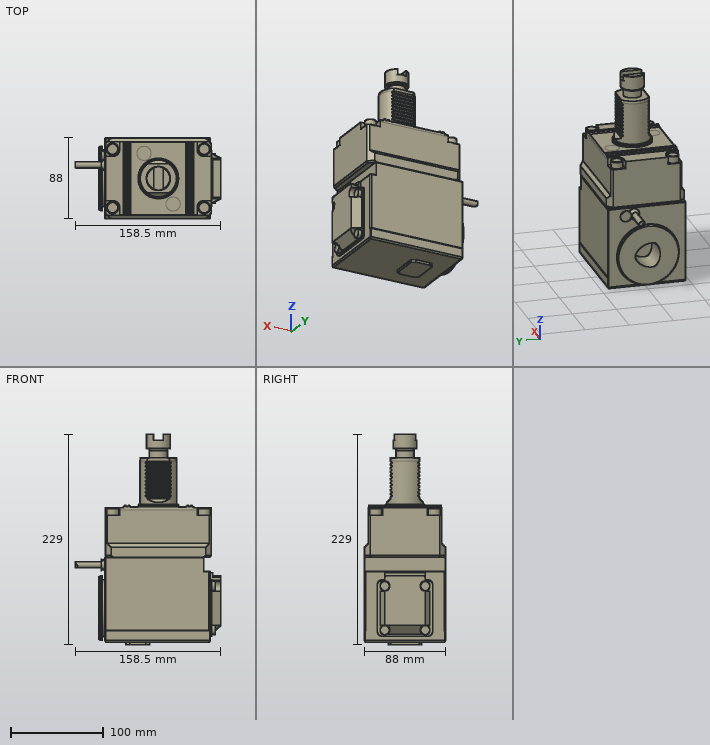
import cadquery as cq
import math


BLOCK_X_MIN = -58.0
BLOCK_X_MAX = 56.3
BLOCK_HALF_Y = 44.0
BLOCK_TOP_Z = -54.7
BLOCK_BOTTOM_Z = -147.2
BLOCK_EDGE = 0.7
BLOCK_REAR_EDGE = 1.6
BLOCK_BOTTOM_EDGE_SIDE = 1.1
BLOCK_BOTTOM_EDGE_HEIGHT = 2.1
NOTCH_X = 49.5
NOTCH_Z = -69.8
JOINT_Z = -134.6
JOINT_WIDTH = 0.5
JOINT_DEPTH = 0.3

HEAD_HALF_X = 57.6
HEAD_HALF_Y = 40.0
HEAD_TOP_HALF_Y = 39.5
HEAD_BEVEL_HEIGHT = 3.0
FLARE_HALF_Y = 44.0
FLARE_TOP_Z = -39.9
FLARE_BOTTOM_Z = -44.1
HEAD_CORNER_CUT = 6.2
HEAD_FOOT_EDGE = 1.8

STEP_DEPTH = 1.0
STRIP_INNER_X = 30.0
STRIP_OUTER_X = 38.3
RIDGE_HEIGHT = 1.4
RIDGE_PITCH = 4.0
RIDGE_CREST = 0.8
STRIP_EDGE_DEPTH = 0.2

SCREW_X = 49.75
SCREW_Y = 31.75
SCREW_POCKET_D = 15.5
SCREW_POCKET_Z = -9.2
SCREW_HEAD_D = 13.0
SCREW_HEAD_TOP_Z = -1.3
SCREW_HEAD_EDGE = 0.7

HEAD_PLUG_D = 15.5
HEAD_PLUG_X = 15.8
HEAD_PLUG_Y = 27.5
PLUG_THICKNESS = 3.0

SHANK_D = 40.0
SHANK_ROOT_Z = -25.0
SHANK_TOP_D = 39.4
SHANK_TOP_Z = 53.0
SHANK_TAPER_LENGTH = 2.8
COLLAR_D = 43.9
COLLAR_TOP_D = 41.5
COLLAR_EDGE_Z = 1.6
COLLAR_TOP_Z = 2.9
FLAT_Y = 15.8
FLAT_BOTTOM_Z = 8.9
GROOVE_PITCH = 4.0
GROOVE_COUNT = 10
GROOVE_FIRST_Z = 11.9
GROOVE_DEPTH = 1.6
GROOVE_HALF_WIDTH = 1.6

NECK_D = 20.0
RELIEF_D = 19.6
RELIEF_BOTTOM_Z = 61.0
DRIVE_D = 26.0
DRIVE_BOTTOM_Z = 62.8
DRIVE_TOP_Z = 79.0
DRIVE_EDGE = 0.5
SLOT_WIDTH = 10.4
SLOT_DEPTH = 6.6

SOCKET_Z = -110.0
FLANGE_D = 70.0
FLANGE_FACE_X = -64.6
FLANGE_BACK_X = -60.9
FLANGE_EDGE_AXIAL = 2.0
FLANGE_EDGE_RADIAL = 1.2
FLANGE_NECK_D = 62.0
SOCKET_D = 28.0
SOCKET_ECCENTRICITY = 2.0
SOCKET_DEPTH = 30.0
SOCKET_TAPER = 1 / 20
SOCKET_POINTS = 36

PIN_Y = 14.7
PIN_Z = -63.0
PIN_D = 7.0
PIN_TIP_X = -90.5
PIN_BEVEL = 3.0
PIN_BEVEL_TURN = -45.0
PIN_BASE_D = 12.5
PIN_BASE_X = -62.2
SIDE_PLUG_Y = 24.9
SIDE_PLUG_FACE_D = 12.5
SIDE_PLUG_BASE_D = 7.5
SIDE_PLUG_FACE_X = -62.0

COVER_PLATE_X = 57.8
COVER_PLATE_HALF_Y = 30.0
COVER_PLATE_HALF_Z = 30.5
COVER_PLATE_CORNER_R = 5.0
COVER_FACE_X = 68.0
COVER_HALF_Y = 22.0
COVER_TOP_Z = -75.0
COVER_BOTTOM_Z = -128.6
COVER_EDGE = 1.5
COVER_TAB_X = 59.2
COVER_TAB_TOP_Z = -71.6
COVER_WIDE_HALF_Y = 27.0
COVER_WIDE_TOP_Z = -80.0
COVER_WIDE_BOTTOM_Z = -138.3
COVER_SCREW_Y = 22.0
COVER_SCREW_OFFSET_Z = 23.9
COVER_SCREW_D = 10.0
COVER_SCREW_TOP_X = 62.0
COVER_SCREW_CLEARANCE_D = 10.8

PAD_X_MIN = -35.4
PAD_X_MAX = -9.3
PAD_LENGTH_Y = 36.0
PAD_BOTTOM_Z = -150.0
PAD_CORNER_CUT_X = 4.4
PAD_CORNER_CUT_Y = 2.5


def box(x_min, x_max, y_min, y_max, z_min, z_max):
    """Box given by its limits along the three axes."""
    solid = cq.Workplane("XY").box(x_max - x_min, y_max - y_min, z_max - z_min, centered=False)
    return solid.translate((x_min, y_min, z_min))


def cylinder_z(diameter, z_min, z_max, x=0.0, y=0.0):
    """Cylinder along Z between two heights."""
    return cq.Workplane("XY", origin=(x, y, z_min)).circle(diameter / 2).extrude(z_max - z_min)


def cylinder_x(diameter, x_min, x_max, y, z):
    """Cylinder along X between two positions."""
    return cq.Workplane("YZ", origin=(x_min, y, z)).circle(diameter / 2).extrude(x_max - x_min)


def cone_x(x_min, d_min, x_max, d_max, y, z):
    """Cone along X with a diameter at each end."""
    plane = cq.Workplane("YZ", origin=(x_min, y, z)).circle(d_min / 2)
    return plane.workplane(offset=x_max - x_min).circle(d_max / 2).loft(combine=True)


def make_block():
    return make_base().union(make_upper_block()).cut(make_joint_grooves())


def make_base():
    """Bottom slab of the block, below the joint."""
    base = box(BLOCK_X_MIN, BLOCK_X_MAX, -BLOCK_HALF_Y, BLOCK_HALF_Y, BLOCK_BOTTOM_Z, JOINT_Z)
    base = base.faces("<Z").chamfer(BLOCK_BOTTOM_EDGE_HEIGHT, BLOCK_BOTTOM_EDGE_SIDE)
    return base.edges("|Z").chamfer(BLOCK_EDGE)


def make_upper_block():
    """Block above the joint, stepped down at the +X end of its top."""
    outline = [
        (BLOCK_X_MIN, JOINT_Z),
        (BLOCK_X_MIN, BLOCK_TOP_Z),
        (NOTCH_X, BLOCK_TOP_Z),
        (NOTCH_X, NOTCH_Z),
        (BLOCK_X_MAX, NOTCH_Z),
        (BLOCK_X_MAX, JOINT_Z),
    ]
    block = cq.Workplane("XZ").polyline(outline).close().extrude(BLOCK_HALF_Y, both=True)
    block = block.faces("<X").edges("|Z").chamfer(BLOCK_EDGE)
    block = block.faces(">X").edges("|Z").chamfer(BLOCK_REAR_EDGE)
    block = block.faces(">Z").edges("not >X").chamfer(BLOCK_EDGE)
    notch_center_x = (NOTCH_X + BLOCK_X_MAX) / 2
    notch_floor = block.faces(cq.NearestToPointSelector((notch_center_x, 0, NOTCH_Z)))
    return notch_floor.edges("not <X").chamfer(BLOCK_EDGE)


def make_joint_grooves():
    """Shallow groove along the joint on both Y faces."""
    length = BLOCK_X_MAX - BLOCK_X_MIN
    center_x = (BLOCK_X_MAX + BLOCK_X_MIN) / 2
    groove = cq.Workplane("XY").box(length, 2 * JOINT_DEPTH, JOINT_WIDTH)
    front = groove.translate((center_x, -BLOCK_HALF_Y, JOINT_Z))
    return front.union(front.mirror("XZ"))


def corner_cut_plan(half_x, half_y, cut_x, cut_y):
    """Plan outline of a centred rectangle with its four corners cut off."""
    inner_x = half_x - cut_x
    inner_y = half_y - cut_y
    return [
        (half_x, -inner_y), (half_x, inner_y), (inner_x, half_y), (-inner_x, half_y),
        (-half_x, inner_y), (-half_x, -inner_y), (-inner_x, -half_y), (inner_x, -half_y),
    ]


def make_head():
    right_side = [
        (HEAD_TOP_HALF_Y, 0),
        (HEAD_HALF_Y, -HEAD_BEVEL_HEIGHT),
        (HEAD_HALF_Y, FLARE_TOP_Z),
        (FLARE_HALF_Y, FLARE_BOTTOM_Z),
        (FLARE_HALF_Y, BLOCK_TOP_Z),
    ]
    left_side = [(-y, z) for y, z in reversed(right_side)]
    head = cq.Workplane("YZ").polyline(right_side + left_side).close().extrude(HEAD_HALF_X, both=True)

    plan = corner_cut_plan(HEAD_HALF_X, FLARE_HALF_Y, HEAD_CORNER_CUT, HEAD_CORNER_CUT)
    envelope = cq.Workplane("XY", origin=(0, 0, BLOCK_TOP_Z)).polyline(plan).close().extrude(-BLOCK_TOP_Z)
    head = head.intersect(envelope)
    return head.faces("<Z").edges("not |X").chamfer(HEAD_FOOT_EDGE)


def add_strips(head):
    """Twin ridges along Y on both sides of the shank, with the head stepped down outside them."""
    ridge_outline = [(STRIP_INNER_X, 0)]
    for index in range(2):
        crest_x = STRIP_INNER_X + RIDGE_PITCH * (index + 0.5)
        ridge_outline.append((crest_x - RIDGE_CREST / 2, RIDGE_HEIGHT))
        ridge_outline.append((crest_x + RIDGE_CREST / 2, RIDGE_HEIGHT))
        ridge_outline.append((STRIP_INNER_X + RIDGE_PITCH * (index + 1), -STRIP_EDGE_DEPTH * index))
    ridge_outline += [(STRIP_OUTER_X, -STEP_DEPTH), (STRIP_INNER_X, -STEP_DEPTH)]
    ridge = cq.Workplane("XZ").polyline(ridge_outline).close().extrude(HEAD_TOP_HALF_Y, both=True)
    step = box(STRIP_OUTER_X, HEAD_HALF_X, -FLARE_HALF_Y, FLARE_HALF_Y, -STEP_DEPTH, 0)
    for mirrored in (False, True):
        head = head.cut(step.mirror("YZ") if mirrored else step)
        head = head.union(ridge.mirror("YZ") if mirrored else ridge)
    return head


def add_corner_screws(head):
    pocket_r = SCREW_POCKET_D / 2
    for side_x in (-1, 1):
        for side_y in (-1, 1):
            x = side_x * SCREW_X
            y = side_y * SCREW_Y
            size_x = HEAD_HALF_X - SCREW_X + pocket_r
            size_y = HEAD_HALF_Y - SCREW_Y + pocket_r
            center_x = side_x * (HEAD_HALF_X - size_x / 2)
            center_y = side_y * (HEAD_HALF_Y - size_y / 2)
            pocket = cq.Workplane("XY").box(size_x, size_y, -SCREW_POCKET_Z, centered=(True, True, False))
            pocket = pocket.translate((center_x, center_y, SCREW_POCKET_Z))
            inner_edge = f"{'<' if side_x > 0 else '>'}X and {'<' if side_y > 0 else '>'}Y"
            pocket = pocket.edges("|Z").edges(inner_edge).fillet(pocket_r)
            screw = cylinder_z(SCREW_HEAD_D, SCREW_POCKET_Z, SCREW_HEAD_TOP_Z, x, y)
            screw = screw.faces(">Z").chamfer(SCREW_HEAD_EDGE)
            head = head.cut(pocket).union(screw)
    return head


def make_shank():
    profile = [
        (0, SHANK_ROOT_Z),
        (COLLAR_D / 2, SHANK_ROOT_Z),
        (COLLAR_D / 2, COLLAR_EDGE_Z),
        (COLLAR_TOP_D / 2, COLLAR_TOP_Z),
        (SHANK_D / 2, COLLAR_TOP_Z),
        (SHANK_D / 2, SHANK_TOP_Z - SHANK_TAPER_LENGTH),
        (SHANK_TOP_D / 2, SHANK_TOP_Z),
        (0, SHANK_TOP_Z),
    ]
    shank = cq.Workplane("XZ").polyline(profile).close().revolve(360, (0, 0, 0), (0, 1, 0))
    cutter = make_tooth_cutter()
    return shank.cut(cutter).cut(cutter.mirror("XZ"))


def make_tooth_cutter():
    """Removes the side of the shank beyond a flat at +Y, leaving teeth across it."""
    outer_y = SHANK_D
    outline = [(outer_y, FLAT_BOTTOM_Z - (outer_y - FLAT_Y)), (FLAT_Y, FLAT_BOTTOM_Z)]
    for index in range(GROOVE_COUNT):
        root_z = GROOVE_FIRST_Z + index * GROOVE_PITCH
        outline.append((FLAT_Y, root_z - GROOVE_HALF_WIDTH))
        outline.append((FLAT_Y - GROOVE_DEPTH, root_z))
        outline.append((FLAT_Y, root_z + GROOVE_HALF_WIDTH))
    outline += [(FLAT_Y, SHANK_TOP_Z), (outer_y, SHANK_TOP_Z)]
    cutter = cq.Workplane("YZ").polyline(outline).close().extrude(SHANK_D / 2, both=True)
    above_collar = box(-SHANK_D, SHANK_D, 0, 2 * SHANK_D, COLLAR_TOP_Z, SHANK_TOP_Z)
    return cutter.intersect(above_collar)


def make_drive_screw():
    neck = cylinder_z(NECK_D, SHANK_TOP_Z, RELIEF_BOTTOM_Z)
    relief = cylinder_z(RELIEF_D, RELIEF_BOTTOM_Z, DRIVE_BOTTOM_Z)
    drive = cylinder_z(DRIVE_D, DRIVE_BOTTOM_Z, DRIVE_TOP_Z)
    drive = drive.faces("<Z or >Z").chamfer(DRIVE_EDGE)
    half_slot = SLOT_WIDTH / 2
    slot = box(-half_slot, half_slot, -DRIVE_D, DRIVE_D, DRIVE_TOP_Z - SLOT_DEPTH, DRIVE_TOP_Z)
    return neck.union(relief).union(drive.cut(slot))


def make_socket_flange():
    radius = FLANGE_D / 2
    profile = [
        (FLANGE_FACE_X, 0),
        (FLANGE_FACE_X, radius - FLANGE_EDGE_RADIAL),
        (FLANGE_FACE_X + FLANGE_EDGE_AXIAL, radius),
        (FLANGE_BACK_X, radius),
        (FLANGE_BACK_X, FLANGE_NECK_D / 2),
        (BLOCK_X_MIN, FLANGE_NECK_D / 2),
        (BLOCK_X_MIN, 0),
    ]
    flange = cq.Workplane("XY").polyline(profile).close().revolve(360, (0, 0, 0), (1, 0, 0))
    return flange.translate((0, 0, SOCKET_Z))


def socket_point(angle, diameter):
    """Point of the three-lobed socket outline, with one lobe toward +Y."""
    e = SOCKET_ECCENTRICITY
    r = diameter / 2
    y = r * math.cos(angle) + e * math.cos(2 * angle) - e / 2 * math.cos(4 * angle)
    z = r * math.sin(angle) - e * math.sin(2 * angle) - e / 2 * math.sin(4 * angle)
    return y, z


def make_socket():
    """Lobed bore that narrows toward its floor."""
    angles = [2 * math.pi * index / SOCKET_POINTS for index in range(SOCKET_POINTS)]
    floor_d = SOCKET_D - SOCKET_TAPER * SOCKET_DEPTH
    socket = cq.Workplane("YZ", origin=(FLANGE_FACE_X, 0, SOCKET_Z))
    socket = socket.spline([socket_point(angle, SOCKET_D) for angle in angles], periodic=True).close()
    socket = socket.workplane(offset=SOCKET_DEPTH)
    socket = socket.spline([socket_point(angle, floor_d) for angle in angles], periodic=True).close()
    return socket.loft(combine=True)


def make_coolant_pin():
    pin = cylinder_x(PIN_D, PIN_TIP_X, BLOCK_X_MIN, PIN_Y, PIN_Z)
    lower_z = PIN_Z - PIN_D / 2
    bevel_outline = [(PIN_TIP_X, lower_z), (PIN_TIP_X, lower_z + PIN_BEVEL), (PIN_TIP_X + PIN_BEVEL, lower_z)]
    bevel = cq.Workplane("XZ", origin=(0, PIN_Y, 0)).polyline(bevel_outline).close().extrude(PIN_D, both=True)
    pin_axis_start = (PIN_TIP_X, PIN_Y, PIN_Z)
    pin_axis_end = (BLOCK_X_MIN, PIN_Y, PIN_Z)
    bevel = bevel.rotate(pin_axis_start, pin_axis_end, PIN_BEVEL_TURN)
    base = cone_x(PIN_BASE_X, PIN_D, BLOCK_X_MIN, PIN_BASE_D, PIN_Y, PIN_Z)
    return pin.cut(bevel).union(base)


def make_side_plug():
    return cone_x(SIDE_PLUG_FACE_X, SIDE_PLUG_FACE_D, BLOCK_X_MIN, SIDE_PLUG_BASE_D, SIDE_PLUG_Y, PIN_Z)


def make_cover():
    plate = box(
        BLOCK_X_MAX, COVER_PLATE_X, -COVER_PLATE_HALF_Y, COVER_PLATE_HALF_Y,
        SOCKET_Z - COVER_PLATE_HALF_Z, SOCKET_Z + COVER_PLATE_HALF_Z,
    )
    plate = plate.edges("|X").fillet(COVER_PLATE_CORNER_R)
    tab = box(BLOCK_X_MAX, COVER_TAB_X, -COVER_HALF_Y, COVER_HALF_Y, COVER_WIDE_TOP_Z, COVER_TAB_TOP_Z)
    body = box(BLOCK_X_MAX, COVER_FACE_X, -COVER_HALF_Y, COVER_HALF_Y, COVER_BOTTOM_Z, COVER_TOP_Z)
    body = body.edges("|X and >Z").chamfer(COVER_EDGE)
    cover = body.union(make_cover_flanks())

    fixings = plate.union(tab)
    for side_y in (-1, 1):
        for side_z in (-1, 1):
            y = side_y * COVER_SCREW_Y
            z = SOCKET_Z + side_z * COVER_SCREW_OFFSET_Z
            cover = cover.cut(make_screw_clearance(side_y, y, z))
            fixings = fixings.union(cylinder_x(COVER_SCREW_D, BLOCK_X_MAX, COVER_SCREW_TOP_X, y, z))
    return cover.union(fixings)


def make_cover_flanks():
    """Body widening toward the plate, with sloping sides and a sloping lower end."""
    wide_height = COVER_WIDE_TOP_Z - COVER_WIDE_BOTTOM_Z
    face_height = COVER_WIDE_TOP_Z - COVER_BOTTOM_Z
    wide_center_z = COVER_WIDE_TOP_Z - wide_height / 2
    flanks = cq.Workplane("YZ", origin=(COVER_PLATE_X, 0, wide_center_z))
    flanks = flanks.rect(2 * COVER_WIDE_HALF_Y, wide_height)
    flanks = flanks.workplane(offset=COVER_FACE_X - COVER_PLATE_X)
    flanks = flanks.center(0, (wide_height - face_height) / 2)
    return flanks.rect(2 * COVER_HALF_Y, face_height).loft(combine=True)


def make_screw_clearance(side_y, y, z):
    """Round-ended recess around a cover screw, open toward the near Y side."""
    radius = COVER_SCREW_CLEARANCE_D / 2
    recess = cylinder_x(COVER_SCREW_CLEARANCE_D, COVER_PLATE_X, COVER_FACE_X, y, z)
    outer_y = side_y * COVER_PLATE_HALF_Y
    opening = box(COVER_PLATE_X, COVER_FACE_X, min(y, outer_y), max(y, outer_y), z - radius, z + radius)
    return recess.union(opening)


def make_pad():
    center_x = (PAD_X_MIN + PAD_X_MAX) / 2
    half_x = (PAD_X_MAX - PAD_X_MIN) / 2
    plan = corner_cut_plan(half_x, PAD_LENGTH_Y / 2, PAD_CORNER_CUT_X, PAD_CORNER_CUT_Y)
    pad = cq.Workplane("XY", origin=(center_x, 0, PAD_BOTTOM_Z)).polyline(plan).close()
    return pad.extrude(BLOCK_BOTTOM_Z - PAD_BOTTOM_Z)


def set_head_plugs(body):
    """Flush round plugs; the joint with the seating face stays as an edge."""
    for side in (-1, 1):
        plug = cylinder_z(HEAD_PLUG_D, -PLUG_THICKNESS, 0, side * HEAD_PLUG_X, -side * HEAD_PLUG_Y)
        body = body.cut(plug, clean=False).union(plug, clean=False)
    return body


head = add_corner_screws(add_strips(make_head()))
body = make_block().union(head).union(make_shank()).union(make_drive_screw())
body = body.union(make_socket_flange()).cut(make_socket())
body = body.union(make_coolant_pin()).union(make_side_plug())
body = body.union(make_cover()).union(make_pad())
result = set_head_plugs(body)